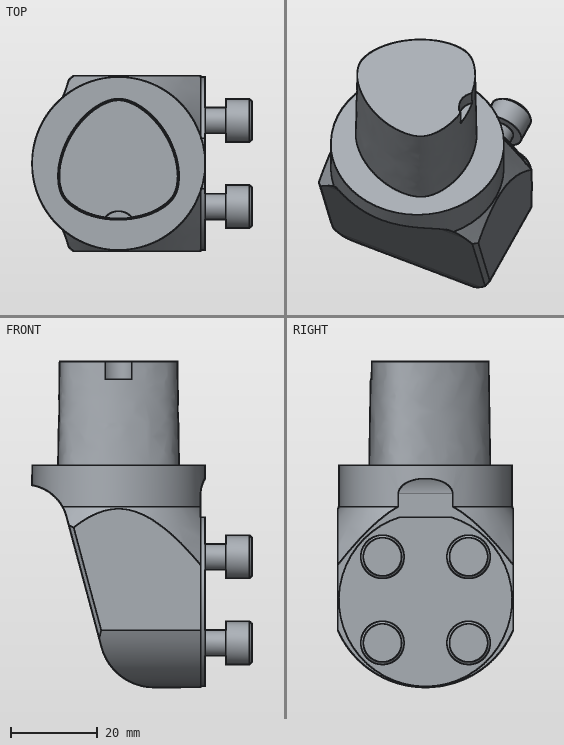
import cadquery as cq
import math

total_height = 75.3
shank_height = 23.95
bottom_z = shank_height - total_height

shank_base_radius = 14.0
shank_top_radius = 13.6
lobe_height = 1.0
section_points = 36
notch_radius = 4.0
notch_inner_y = -11.0
notch_depth = 4.1

collar_radius = 40.0 / 2
collar_height = 9.6
cone_half_angle = 30.0

body_width = 40.6
body_face_x = 19.0
slant_angle = 15.0
slant_top_x = -12.05
slant_top_z = -11.8
slant_bottom_z = -41.95
flange_edge_z = -4.7
relief_top_z = -3.1
relief_bottom_z = -6.5
relief_bulge = 0.2
corner_chamfer = 1.0
underside_radius = 22.15

disc_radius = collar_radius
disc_face_x = collar_radius
disc_center_z = -31.1
disc_flat_z = -12.0
screws_per_side = 2
screw_spacing = 19.9
screw_diameter = 6.0
screw_neck_length = 4.8
head_diameter = 10.0
head_length = 6.0
head_chamfer = 0.6


def lobed_point(mean_radius, turn):
    """Point on a three-lobed curve of constant width, with one lobe toward +Y."""
    along = (mean_radius * math.cos(turn) + 2 * lobe_height * math.cos(2 * turn)
             - lobe_height * math.cos(4 * turn))
    across = (mean_radius * math.sin(turn) - 2 * lobe_height * math.sin(2 * turn)
              - lobe_height * math.sin(4 * turn))
    return (-across, along)


def lobed_section(workplane, mean_radius):
    turns = [2 * math.pi * i / section_points for i in range(section_points)]
    return workplane.spline([lobed_point(mean_radius, turn) for turn in turns], periodic=True).close()


def make_shank():
    base = lobed_section(cq.Workplane("XY"), shank_base_radius)
    shank = lobed_section(base.workplane(offset=shank_height), shank_top_radius).loft()
    notch = (
        cq.Workplane("XY", origin=(0, notch_inner_y - notch_radius, shank_height - notch_depth))
        .circle(notch_radius)
        .extrude(notch_depth)
    )
    return shank.cut(notch)


def make_side_profile():
    """Side outline with a slanted back, extruded across the body width."""
    slope = math.radians(slant_angle)
    slant_bottom_x = slant_top_x + (slant_top_z - slant_bottom_z) * math.tan(slope)
    heel_radius = (slant_bottom_z - bottom_z) / (1 - math.sin(slope))
    heel_end_x = slant_bottom_x + heel_radius * math.cos(slope)
    relief_middle = (
        (collar_radius + body_face_x) / 2 - relief_bulge,
        (relief_top_z + relief_bottom_z) / 2,
    )
    profile = (
        cq.Workplane("XZ")
        .moveTo(body_face_x, bottom_z)
        .lineTo(heel_end_x, bottom_z)
        .tangentArcPoint((slant_bottom_x, slant_bottom_z), relative=False)
        .lineTo(slant_top_x, slant_top_z)
        .tangentArcPoint((-collar_radius, flange_edge_z), relative=False)
        .lineTo(-collar_radius, 0)
        .lineTo(collar_radius, 0)
        .lineTo(collar_radius, relief_top_z)
        .threePointArc(relief_middle, (body_face_x, relief_bottom_z))
        .close()
    )
    block = profile.extrude(body_width / 2, both=True)
    slant_middle = ((slant_top_x + slant_bottom_x) / 2, 0, (slant_top_z + slant_bottom_z) / 2)
    slant_face = cq.selectors.NearestToPointSelector(slant_middle)
    return block.faces(slant_face).edges("not |Y").chamfer(corner_chamfer)


def make_body():
    cone_bottom_radius = collar_radius + (-bottom_z - collar_height) * math.tan(
        math.radians(cone_half_angle))
    collar_and_cone = (
        cq.Workplane("XZ")
        .lineTo(collar_radius, 0)
        .lineTo(collar_radius, -collar_height)
        .lineTo(cone_bottom_radius, bottom_z)
        .lineTo(0, bottom_z)
        .close()
        .revolve(360, (0, 0, 0), (0, 1, 0))
    )
    half_width = body_width / 2
    shoulder_z = bottom_z + underside_radius - math.sqrt(underside_radius**2 - half_width**2)
    underside = (
        cq.Workplane("YZ", origin=(-collar_radius, 0, 0))
        .moveTo(-half_width, 0)
        .lineTo(-half_width, shoulder_z)
        .threePointArc((0, bottom_z), (half_width, shoulder_z))
        .lineTo(half_width, 0)
        .close()
        .extrude(2 * collar_radius)
    )
    return make_side_profile().intersect(collar_and_cone).intersect(underside)


def make_disc():
    """Mounting disc with a flat across its top."""
    thickness = disc_face_x - body_face_x
    disc = (
        cq.Workplane("YZ", origin=(body_face_x, 0, disc_center_z))
        .circle(disc_radius)
        .extrude(thickness)
    )
    above_flat = cq.Workplane("XY", origin=(disc_face_x, 0, disc_flat_z)).box(
        2 * disc_radius, 2 * disc_radius, disc_radius, centered=(True, True, False))
    return disc.cut(above_flat)


def make_screws():
    """Four cap screws in a square pattern, standing out from the disc."""
    pattern = cq.Workplane("YZ", origin=(disc_face_x, 0, disc_center_z)).rarray(
        screw_spacing, screw_spacing, screws_per_side, screws_per_side)
    necks = pattern.circle(screw_diameter / 2).extrude(screw_neck_length)
    head_pattern = cq.Workplane(
        "YZ", origin=(disc_face_x + screw_neck_length, 0, disc_center_z)
    ).rarray(screw_spacing, screw_spacing, screws_per_side, screws_per_side)
    heads = (
        head_pattern.circle(head_diameter / 2)
        .extrude(head_length)
        .faces(">X")
        .edges()
        .chamfer(head_chamfer)
    )
    return necks.union(heads)


result = make_shank().union(make_body()).union(make_disc()).union(make_screws())